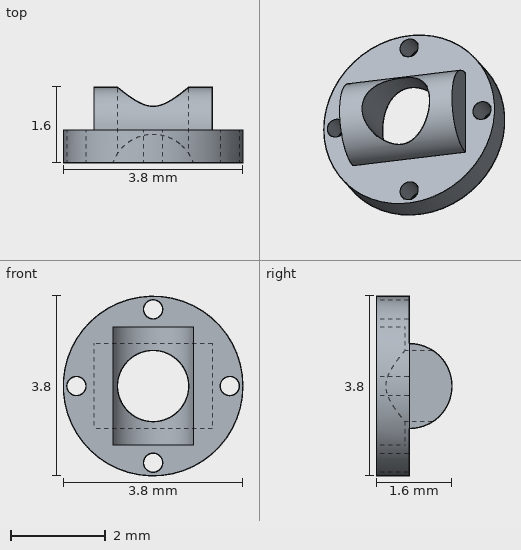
import cadquery as cq
import math

flange_diameter = 3.8
flange_thickness = 0.7

saddle_radius = 0.9
saddle_length = 2.5

bore_diameter = 1.5

trough_width = 1.7
trough_length = 2.5
trough_radius = 0.9

mount_hole_diameter = 0.4
mount_circle_radius = 1.62
mount_hole_count = 4


def cylinder_along_y(diameter, length):
    """Cylinder centred on the Y axis, from Y = 0 towards +Y."""
    return cq.Workplane("XZ").circle(diameter / 2).extrude(-length)


def make_saddle():
    """Half cylinder whose axis lies in the back face of the flange."""
    barrel = (
        cq.Workplane("YZ")
        .center(flange_thickness, 0)
        .circle(saddle_radius)
        .extrude(saddle_length / 2, both=True)
    )
    back_half = cq.Workplane("XY").box(
        saddle_length, saddle_radius, 2 * saddle_radius, centered=(True, False, True)
    )
    return barrel.intersect(back_half.translate((0, flange_thickness, 0)))


def make_trough():
    """Cylinder segment that opens trough_width wide at the front face."""
    half_width = trough_width / 2
    axis_offset = math.sqrt(trough_radius**2 - half_width**2)
    depth = trough_radius - axis_offset
    return (
        cq.Workplane("XY")
        .moveTo(-half_width, 0)
        .threePointArc((0, depth), (half_width, 0))
        .close()
        .extrude(trough_length / 2, both=True)
    )


def make_mount_holes():
    """Through holes evenly spaced on the mounting circle."""
    return (
        cq.Workplane("XZ")
        .polarArray(mount_circle_radius, 0, 360, mount_hole_count)
        .circle(mount_hole_diameter / 2)
        .extrude(-flange_thickness)
    )


flange = cylinder_along_y(flange_diameter, flange_thickness)
bore = cylinder_along_y(bore_diameter, flange_thickness + saddle_radius)

result = flange.union(make_saddle()).cut(make_trough()).cut(bore).cut(make_mount_holes())